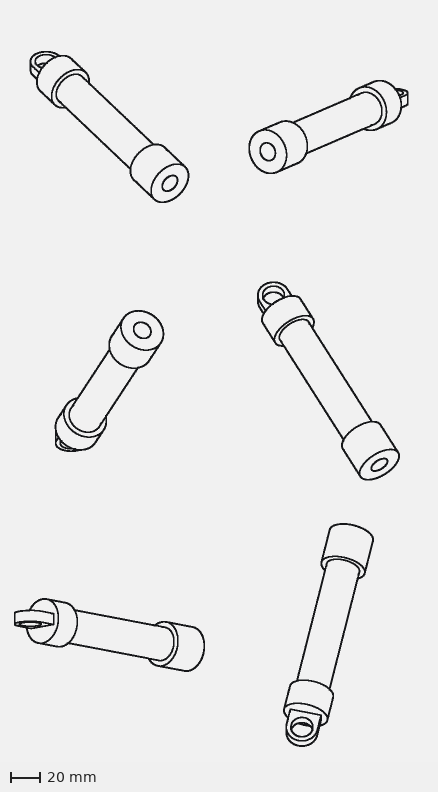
import cadquery as cq

overall_length = 166.2

eye_width = 21.6
eye_thickness = 7.6
eye_hole_diameter = 15.0
eye_length = 22.7

cap_diameter = 30.8
tube_diameter = 23.2
eye_cap_length = 18.5
plain_cap_length = 26.0

pad_diameter = 12.57
pad_height = 0.2

eye_radius = eye_width / 2
tip_x = -eye_radius
eye_cap_start = tip_x + eye_length
tube_start = eye_cap_start + eye_cap_length
pad_end = tip_x + overall_length
plain_cap_end = pad_end - pad_height
plain_cap_start = plain_cap_end - plain_cap_length


def cylinder_along_x(start, end, diameter):
    """Solid cylinder on the X axis between two stations."""
    return cq.Workplane("YZ", origin=(start, 0, 0)).circle(diameter / 2).extrude(end - start)


def make_eye():
    """Flat lug with a full-round tip, ending on the face of its cap."""
    outline = (
        cq.Workplane("XY")
        .moveTo(eye_cap_start, -eye_radius)
        .lineTo(0, -eye_radius)
        .threePointArc((tip_x, 0), (0, eye_radius))
        .lineTo(eye_cap_start, eye_radius)
        .close()
    )
    plate = outline.extrude(eye_thickness / 2, both=True)
    hole = cq.Workplane("XY").circle(eye_hole_diameter / 2).extrude(eye_thickness, both=True)
    return plate.cut(hole)


eye_cap = cylinder_along_x(eye_cap_start, tube_start, cap_diameter)
tube = cylinder_along_x(tube_start, plain_cap_start, tube_diameter)
plain_cap = cylinder_along_x(plain_cap_start, plain_cap_end, cap_diameter)
pad = cylinder_along_x(plain_cap_end, pad_end, pad_diameter)

result = make_eye().union(eye_cap).union(tube).union(plain_cap).union(pad)